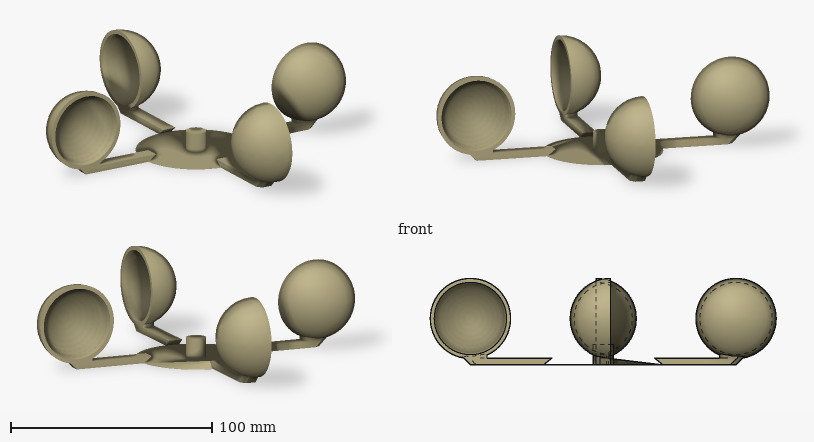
import cadquery as cq
import math

disc_radius = 30.0
disc_thickness = 0.1
pin_diameter = 10.0
pin_height = 10.0

cup_radius = 20.0
cup_wall = 2.0
overall_height = 43.02
cup_center_height = overall_height - cup_radius
cup_distance_x = 66.0
cup_distance_y = 66.15

arm_width = 7.2
mouth_offset = 3.5
arm_back = arm_width - mouth_offset
arm_thickness = 3.3
arm_top_start = 25.5
arm_bottom_start = 29.6
tab_start = 20.3
tab_thickness = 0.15
post_start = 57.7
post_height = 6.6
post_round = 4.1
toe_chamfer = 2.0

flap_thickness = 0.2
flap_tip_x = arm_back - 1.2
flap_end_y = 4.0
flap_tip_scale = 0.001


def make_hub():
    """Thin disc with a round pin standing at its center."""
    disc = cq.Workplane("XY").circle(disc_radius).extrude(disc_thickness)
    pin = cq.Workplane("XY").circle(pin_diameter / 2).extrude(pin_height)
    return disc.union(pin)


def make_hemisphere(radius, distance):
    """Half ball on the +Y side of the cup mouth, turned from a quarter-disc profile."""
    return (
        cq.Workplane("XY", origin=(-distance, -mouth_offset, cup_center_height))
        .lineTo(0, radius)
        .radiusArc((-radius, 0), -radius)
        .close()
        .revolve(360, (0, 0, 0), (0, 1, 0))
    )


def make_arm(distance):
    """Beam with an undercut inner end, a sloped toe and a post reaching up into the cup shell."""
    beam = (
        cq.Workplane("XZ", origin=(0, -mouth_offset, 0))
        .moveTo(-arm_top_start, arm_thickness)
        .lineTo(-arm_bottom_start, 0)
        .lineTo(-distance, 0)
        .lineTo(-distance - post_height, post_height)
        .lineTo(-post_start, post_height)
        .lineTo(-post_start, arm_thickness)
        .close()
        .extrude(-arm_width)
    )
    toe_direction = cq.selectors.ParallelDirSelector(cq.Vector(-1, 0, 1))
    beam = beam.faces(">Y").edges(toe_direction).chamfer(toe_chamfer)
    beam = beam.faces(">Y").edges("|Z").fillet(post_round)

    tab_length = disc_radius - tab_start
    tab = (
        cq.Workplane("XY")
        .box(tab_length, arm_width, tab_thickness, centered=False)
        .translate((-disc_radius, -mouth_offset, 0))
    )
    return beam.union(tab)


def make_blade(distance):
    """One arm along -X with its cup opening towards -Y."""
    solid_cup = make_hemisphere(cup_radius, distance)
    hollow = make_hemisphere(cup_radius - cup_wall, distance)
    return make_arm(distance).union(solid_cup).cut(hollow)


def make_flap():
    """Thin sheet from a raised tip on the +Y arm, spreading down to an arc of the disc rim."""
    tip = cq.Vector(flap_tip_x, arm_top_start, arm_thickness)
    rim_start = (math.sqrt(disc_radius**2 - flap_end_y**2), flap_end_y)
    rim_end = (flap_tip_x, math.sqrt(disc_radius**2 - flap_tip_x**2))

    def outline(scale, height):
        """Footprint of the flap, shrunk towards the tip."""

        def place(point):
            return (scale * (point[0] - tip.x), scale * (point[1] - tip.y))

        return (
            cq.Workplane("XY", origin=(tip.x, tip.y, height))
            .lineTo(*place(rim_start))
            .radiusArc(place(rim_end), -scale * disc_radius)
            .close()
            .val()
        )

    cone = cq.Solid.makeLoft([outline(1, 0), outline(flap_tip_scale, tip.z)], True)
    wedge = cq.Workplane(cone)
    return wedge.cut(wedge.translate((0, 0, -flap_thickness)))


result = make_hub().union(make_flap())
for quarter in range(4):
    distance = cup_distance_x if quarter % 2 == 0 else cup_distance_y
    blade = make_blade(distance).rotate((0, 0, 0), (0, 0, 1), 90 * quarter)
    result = result.union(blade)